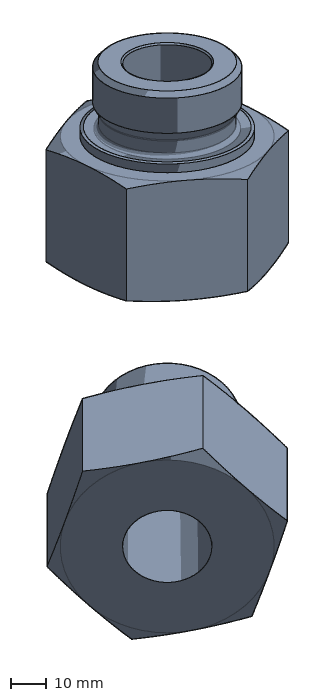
import cadquery as cq
import math

ACROSS_CORNERS = 69.3
ACROSS_FLATS = ACROSS_CORNERS * math.cos(math.radians(30))
HEX_HEIGHT = 37.05
HEX_CHAMFER_ANGLE = 15.0

TOTAL_HEIGHT = 60.0
COLLAR_DIAMETER = 49.0
COLLAR_HEIGHT = 2.7
COLLAR_BEVEL_WIDTH = 1.0
COLLAR_BEVEL_HEIGHT = 0.2
NECK_DIAMETER = 38.6
NECK_FILLET = 1.3
NECK_FILLET_TOP = 3.75
SPIGOT_DIAMETER = 41.9
SPIGOT_LENGTH = 12.4
SPIGOT_CHAMFER = 1.5
UNDERCUT_TAPER_ANGLE = 30.0
UNDERCUT_FILLET = 1.0

BORE_DIAMETER = 25.0
BORE_CHAMFER = 0.5


def make_hexagon():
    """Hexagon with corners on +Y and -Y, both ends chamfered by a cone."""
    prism = (
        cq.Workplane("XY")
        .polygon(6, ACROSS_CORNERS)
        .extrude(HEX_HEIGHT)
        .rotate((0, 0, 0), (0, 0, 1), 90)
    )
    corner_radius = ACROSS_CORNERS / 2
    flat_radius = ACROSS_FLATS / 2
    drop = (corner_radius - flat_radius) * math.tan(math.radians(HEX_CHAMFER_ANGLE))
    envelope = (
        cq.Workplane("XZ")
        .moveTo(0, 0)
        .lineTo(flat_radius, 0)
        .lineTo(corner_radius, drop)
        .lineTo(corner_radius, HEX_HEIGHT - drop)
        .lineTo(flat_radius, HEX_HEIGHT)
        .lineTo(0, HEX_HEIGHT)
        .close()
        .revolve(360, (0, 0, 0), (0, 1, 0))
    )
    return prism.intersect(envelope)


def make_spigot():
    """Collar, filleted neck and chamfered spigot, turned as one profile."""
    collar_radius = COLLAR_DIAMETER / 2
    neck_radius = NECK_DIAMETER / 2
    spigot_radius = SPIGOT_DIAMETER / 2
    collar_top = HEX_HEIGHT + COLLAR_HEIGHT
    rim_top = collar_top + COLLAR_BEVEL_HEIGHT
    fillet_top = HEX_HEIGHT + NECK_FILLET_TOP
    fillet_base = fillet_top - NECK_FILLET
    spigot_base = TOTAL_HEIGHT - SPIGOT_LENGTH
    taper = math.radians(UNDERCUT_TAPER_ANGLE)
    taper_height = (spigot_radius - neck_radius) / math.tan(taper)
    neck_top = spigot_base - taper_height - UNDERCUT_FILLET * math.tan(taper / 2)

    def undercut_arc_point(angle):
        return (
            neck_radius + UNDERCUT_FILLET * (1 - math.cos(angle)),
            neck_top + UNDERCUT_FILLET * math.sin(angle),
        )

    arc_offset = NECK_FILLET * (1 - math.sqrt(0.5))
    return (
        cq.Workplane("XZ")
        .moveTo(0, HEX_HEIGHT)
        .lineTo(collar_radius, HEX_HEIGHT)
        .lineTo(collar_radius, collar_top)
        .lineTo(collar_radius - COLLAR_BEVEL_WIDTH, rim_top)
        .lineTo(neck_radius + NECK_FILLET, fillet_base)
        .threePointArc((neck_radius + arc_offset, fillet_base + arc_offset), (neck_radius, fillet_top))
        .lineTo(neck_radius, neck_top)
        .threePointArc(undercut_arc_point(taper / 2), undercut_arc_point(taper))
        .lineTo(spigot_radius, spigot_base)
        .lineTo(spigot_radius, TOTAL_HEIGHT - SPIGOT_CHAMFER)
        .lineTo(spigot_radius - SPIGOT_CHAMFER, TOTAL_HEIGHT)
        .lineTo(0, TOTAL_HEIGHT)
        .close()
        .revolve(360, (0, 0, 0), (0, 1, 0))
    )


body = make_hexagon().union(make_spigot())
body = body.faces(">Z").workplane(origin=(0, 0, 0)).hole(BORE_DIAMETER)
bore_rim = cq.selectors.RadiusNthSelector(0)
result = body.faces(">Z").edges(bore_rim).chamfer(BORE_CHAMFER)